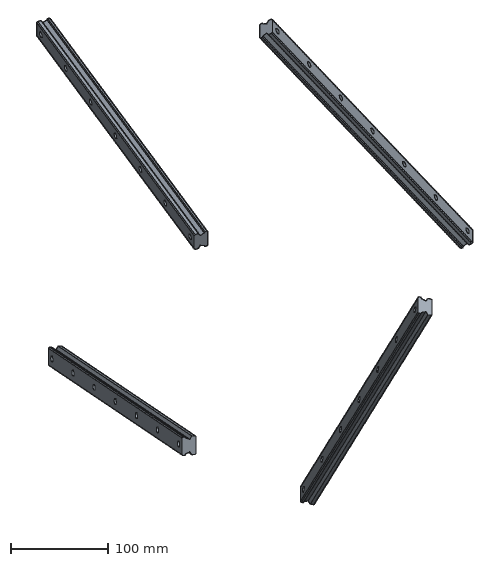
import cadquery as cq

length = 380.0
width = 15.5
height = 20.0
edge_chamfer = 1.0

groove_back_y = 4.5
groove_foot_y = 3.8
groove_step = 1.5
groove_valley_y = -0.8
groove_depth = 3.5
groove_front_y = -3.0

hole_diameter = 6.0
hole_count = 7
hole_pitch = 60.0


def make_bar():
    bar = cq.Workplane("XY").box(length, width, height)
    return bar.edges("|X").chamfer(edge_chamfer)


def make_groove(side):
    """Groove cutter for the top face (side = 1) or the bottom face (side = -1)."""
    surface = height / 2
    outline = [
        (groove_back_y, side * surface),
        (groove_foot_y, side * (surface - groove_step)),
        (groove_valley_y, side * (surface - groove_depth)),
        (groove_front_y, side * surface),
    ]
    return cq.Workplane("YZ").polyline(outline).close().extrude(length / 2, both=True)


def make_holes():
    return (
        cq.Workplane("XZ")
        .rarray(hole_pitch, 3.8, hole_count, 1)
        .circle(hole_diameter / 2)
        .extrude(width, both=True)
    )


result = make_bar()
for side in (1, -1):
    result = result.cut(make_groove(side))
result = result.cut(make_holes())